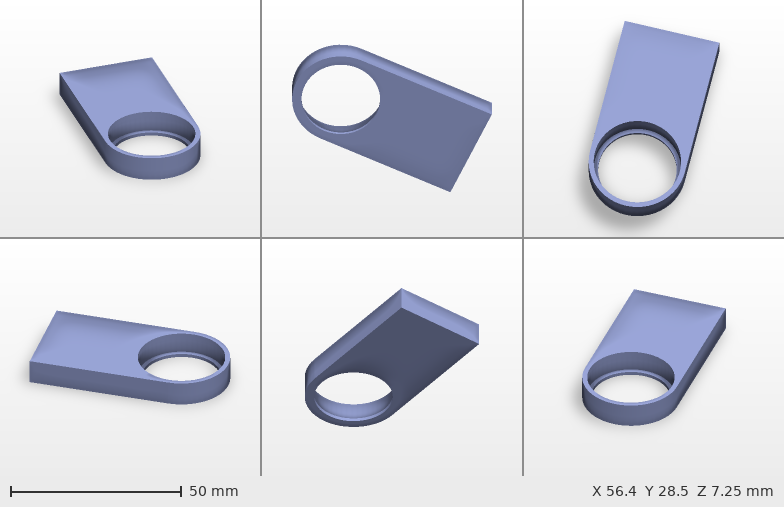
import cadquery as cq

length = 56.35
width = 28.5
height = 7.25
bore_diameter = 25.6
hole_diameter = 23.0
lip_thickness = 1.0

end_radius = width / 2
bore_x = length - end_radius


def plate():
    """Flat plate with a square end at X = 0 and a full-round end at +X."""
    return (
        cq.Workplane("XY")
        .moveTo(0, -end_radius)
        .lineTo(bore_x, -end_radius)
        .threePointArc((length, 0), (bore_x, end_radius))
        .lineTo(0, end_radius)
        .close()
        .extrude(height)
    )


def stepped_bore():
    """Through hole with a wider bore above it, leaving a thin lip at the bottom."""
    hole = cq.Workplane("XY").center(bore_x, 0).circle(hole_diameter / 2).extrude(height)
    bore = (
        cq.Workplane("XY", origin=(0, 0, lip_thickness))
        .center(bore_x, 0)
        .circle(bore_diameter / 2)
        .extrude(height - lip_thickness)
    )
    return hole.union(bore)


result = plate().cut(stepped_bore())